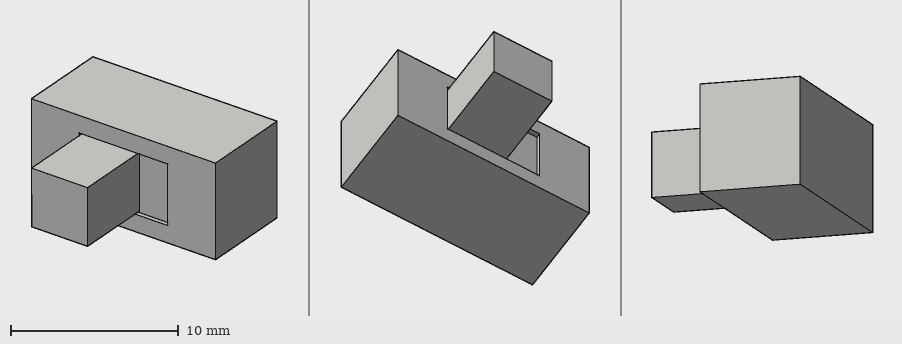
import cadquery as cq

housing_length = 13.5
housing_depth = 6.3
housing_height = 6.6

window_length = 6.5
window_height = 4.2
window_depth = 0.3

slider_clearance = 0.1
slider_length = 4.1
slider_height = window_height - 2 * slider_clearance
slider_projection = 5.0


def make_housing():
    return cq.Workplane("XY").box(
        housing_length, housing_depth, housing_height, centered=(True, False, True)
    )


def make_window():
    return cq.Workplane("XY").box(
        window_length, window_depth, window_height, centered=(True, False, True)
    )


def make_slider():
    left_side = -window_length / 2 + slider_clearance
    block = cq.Workplane("XY").box(
        slider_length,
        slider_projection + window_depth,
        slider_height,
        centered=(False, False, True),
    )
    return block.translate((left_side, -slider_projection, 0))


result = make_housing().cut(make_window()).union(make_slider())